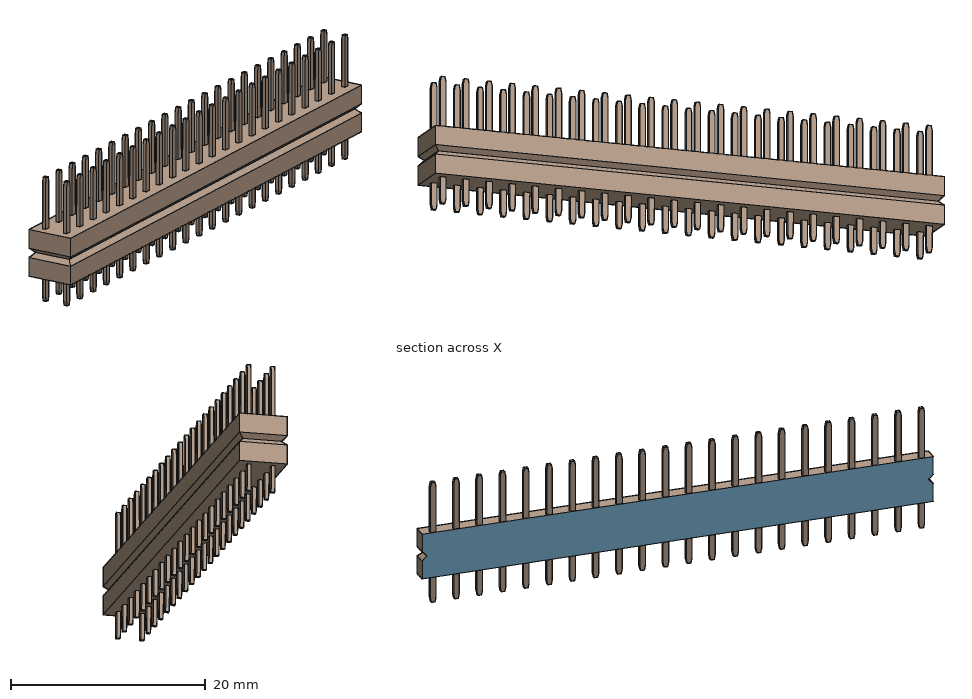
import cadquery as cq

pitch = 2.54
columns = 2
rows = 22

body_width = columns * pitch
body_length = 55.9
body_height = 2 * pitch
half_height = body_height / 2

groove_height = 1.0
groove_depth = 0.5

pin_width = 0.4
pin_length = 0.6
upper_reach = 5.6
lower_reach = 2.8
tip_height = 0.5
tip_length = 0.4


def half_body():
    """Upper half of the body, tapering inwards to the bottom of the groove."""
    lip_height = groove_height / 2
    neck = (
        cq.Workplane("XY")
        .rect(body_width - 2 * groove_depth, body_length - 2 * groove_depth)
        .workplane(offset=lip_height)
        .rect(body_width, body_length)
        .loft(ruled=True)
    )
    block = (
        cq.Workplane("XY", origin=(0, 0, lip_height))
        .rect(body_width, body_length)
        .extrude(half_height - lip_height)
    )
    return neck.union(block)


def half_pin(x, y, reach):
    """Pin from the middle of the body to a tip that stands clear of it by reach."""
    tip_z = half_height + reach
    shoulder_z = tip_z - tip_height
    outline = [
        (-pin_length / 2, 0),
        (pin_length / 2, 0),
        (pin_length / 2, shoulder_z),
        (tip_length / 2, tip_z),
        (-tip_length / 2, tip_z),
        (-pin_length / 2, shoulder_z),
    ]
    return (
        cq.Workplane("YZ", origin=(x - pin_width / 2, y, 0))
        .polyline(outline)
        .close()
        .extrude(pin_width)
    )


def half_header(reach):
    """Half of the body with all of its pins pointing up."""
    half = half_body()
    pins = []
    for column in range(columns):
        x = (column - (columns - 1) / 2) * pitch
        for row in range(rows):
            y = (row - (rows - 1) / 2) * pitch
            pins.append(half_pin(x, y, reach).val())
    return cq.Workplane("XY").newObject([half.val().fuse(*pins)])


upper_half = half_header(upper_reach)
lower_half = half_header(lower_reach).mirror("XY")
result = upper_half.union(lower_half).clean()